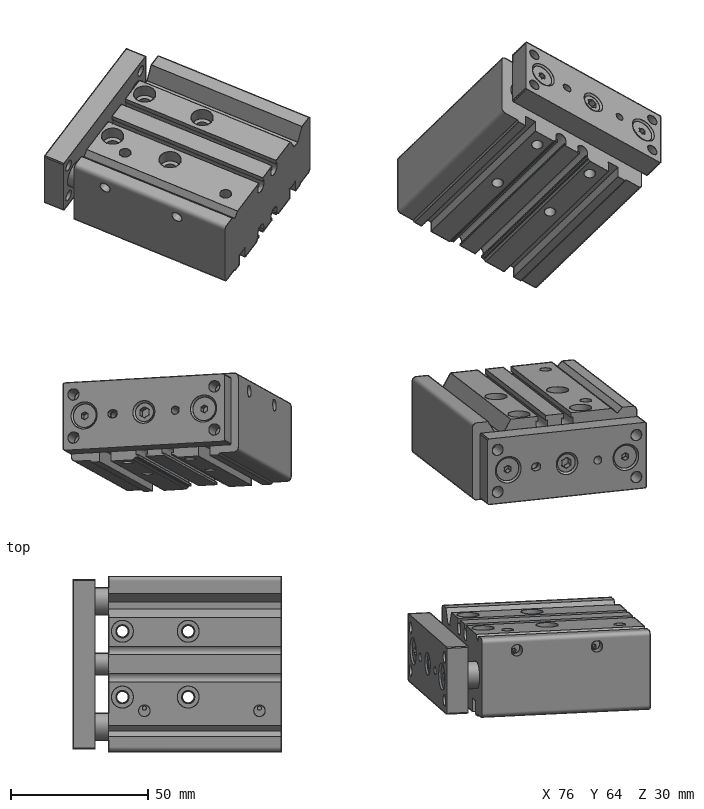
import cadquery as cq
import math

housing_length = 63.0
housing_width = 64.0
housing_height = 30.0
half_width = housing_width / 2
top_z = housing_height / 2
foot_z = -housing_height / 2
side_bottom_z = -14.3
land_bottom_z = -14.0
corner_radius = 1.7

foot_outer_y = 24.3
foot_outer_chamfer = 0.6
foot_inner_y = 8.3

sensor_slot_y = 4.95
sensor_mouth_width = 3.0
sensor_lip_z = 13.15
sensor_slot_diameter = 4.4
sensor_round_z = 11.3

foot_slot_y = 18.9
foot_slot_width = 4.4
foot_slot_depth = 5.0

taper_groove_y = 21.45
taper_groove_mouth = 8.8
taper_groove_floor = 2.5
taper_groove_angle = 60.0
taper_groove_run = (taper_groove_mouth - taper_groove_floor) / 2
taper_groove_depth = taper_groove_run * math.tan(math.radians(taper_groove_angle))

vee_groove_y = -24.4
vee_groove_depth = 2.0

mount_hole_xs = (5.0, 29.0)
mount_hole_y = 12.0
mount_hole_diameter = 4.8
mount_thread_diameter = 4.2
mount_thread_length = 10.0
counterbore_diameter = 8.0
counterbore_depth = 5.0

port_diameter = 4.2
port_depth = 4.5
port_drill_diameter = 1.5
port_drill_depth = 6.5
port_drill_offset = 0.95
top_port_xs = (13.0, 55.0)
top_port_y = -17.0
side_port_xs = (13.0, 43.0)
side_port_z = 10.4

plate_thickness = 8.0
plate_width = 61.8
plate_height = 25.0
plate_chamfer = 0.4
plate_gap = 5.0
plate_back_x = -plate_gap
plate_front_x = plate_back_x - plate_thickness

guide_rod_diameter = 10.0
guide_rod_y = 22.9
piston_rod_diameter = 8.0
rod_insertion = 40.0

guide_rim_diameter = 10.0
guide_rim_floor = 8.7
piston_rim_diameter = 8.4
piston_rim_floor = 6.9
rim_depth = 0.7

guide_socket_flats = 2.5
piston_socket_flats = 3.5
socket_depth = 3.0

plate_hole_diameter = 4.2
plate_hole_y = 27.0
plate_hole_z = 8.0
pin_hole_y = 12.0
pin_hole_diameter = 3.0
pin_slot_length = 3.5
pin_slot_depth = 3.0


def rod_layout():
    """Y position and diameter of each of the three rods."""
    return (
        (guide_rod_y, guide_rod_diameter),
        (0, piston_rod_diameter),
        (-guide_rod_y, guide_rod_diameter),
    )


def cylinder_x(diameter, x_start, length, y, z=0):
    return cq.Workplane("YZ", origin=(x_start, y, z)).circle(diameter / 2).extrude(length)


def bar(points):
    """Housing-long prism with the given (y, z) outline."""
    return cq.Workplane("YZ").polyline(points).close().extrude(housing_length)


def box_bar(y_min, y_max, z_min, z_max):
    return bar([(y_min, z_min), (y_max, z_min), (y_max, z_max), (y_min, z_max)])


def housing_block():
    block = box_bar(-half_width, half_width, side_bottom_z, top_z)
    return block.edges("|X").fillet(corner_radius)


def foot(side):
    """Raised foot with sloping edges on one side of the centre."""
    outer_rise = side_bottom_z - foot_z
    inner_rise = land_bottom_z - foot_z
    return bar([
        (side * (foot_outer_y + foot_outer_chamfer), foot_z + outer_rise),
        (side * foot_outer_y, foot_z),
        (side * foot_inner_y, foot_z),
        (side * (foot_inner_y - inner_rise), foot_z + inner_rise),
    ])


def centre_relief():
    """Shallow step between the feet."""
    relief_y = foot_inner_y - (land_bottom_z - foot_z)
    return box_bar(-relief_y, relief_y, foot_z, land_bottom_z)


def sensor_slot(y, direction):
    """Round-bottomed slot with a narrow mouth; direction is +1 for the top and -1 for the bottom."""
    radius = sensor_slot_diameter / 2
    half_mouth = sensor_mouth_width / 2
    mouth_z = direction * top_z
    lip_z = direction * sensor_lip_z
    round_z = direction * sensor_round_z
    floor_z = direction * (sensor_round_z - radius)
    return (
        cq.Workplane("YZ")
        .moveTo(y - half_mouth, mouth_z)
        .lineTo(y - half_mouth, lip_z)
        .lineTo(y - radius, lip_z)
        .lineTo(y - radius, round_z)
        .threePointArc((y, floor_z), (y + radius, round_z))
        .lineTo(y + radius, lip_z)
        .lineTo(y + half_mouth, lip_z)
        .lineTo(y + half_mouth, mouth_z)
        .close()
        .extrude(housing_length)
    )


def taper_groove():
    half_mouth = taper_groove_mouth / 2
    half_floor = taper_groove_floor / 2
    floor_z = top_z - taper_groove_depth
    return bar([
        (taper_groove_y - half_mouth, top_z),
        (taper_groove_y - half_floor, floor_z),
        (taper_groove_y + half_floor, floor_z),
        (taper_groove_y + half_mouth, top_z),
    ])


def vee_groove():
    return bar([
        (vee_groove_y - vee_groove_depth, top_z),
        (vee_groove_y, top_z - vee_groove_depth),
        (vee_groove_y + vee_groove_depth, top_z),
    ])


def foot_slot(side):
    centre_y = side * foot_slot_y
    half_slot = foot_slot_width / 2
    return box_bar(centre_y - half_slot, centre_y + half_slot, foot_z, foot_z + foot_slot_depth)


def mount_hole(x, y):
    """Hole right through the housing, counterbored above and narrowed to thread size below."""
    clearance_length = housing_height - mount_thread_length
    top = cq.Workplane("XY", origin=(x, y, top_z))
    thread = top.circle(mount_thread_diameter / 2).extrude(-housing_height)
    clearance = top.circle(mount_hole_diameter / 2).extrude(-clearance_length)
    counterbore = top.circle(counterbore_diameter / 2).extrude(-counterbore_depth)
    return thread.union(clearance).union(counterbore)


def top_port(x):
    mouth = cq.Workplane("XY", origin=(x, top_port_y, top_z))
    port = mouth.circle(port_diameter / 2).extrude(-port_depth)
    drill = mouth.center(0, port_drill_offset).circle(port_drill_diameter / 2).extrude(-port_drill_depth)
    return port.union(drill)


def side_port(x):
    mouth = cq.Workplane("XZ", origin=(x, -half_width, side_port_z))
    port = mouth.circle(port_diameter / 2).extrude(-port_depth)
    drill = mouth.center(0, -port_drill_offset).circle(port_drill_diameter / 2).extrude(-port_drill_depth)
    return port.union(drill)


def make_housing():
    body = housing_block()
    for side in (-1, 1):
        body = body.union(foot(side))
    body = body.cut(taper_groove()).cut(vee_groove())
    for side in (-1, 1):
        body = body.cut(foot_slot(side))
    body = body.cut(centre_relief())
    for side in (-1, 1):
        for direction in (-1, 1):
            body = body.cut(sensor_slot(side * sensor_slot_y, direction))
        for x in mount_hole_xs:
            body = body.cut(mount_hole(x, side * mount_hole_y))
    for x in top_port_xs:
        body = body.cut(top_port(x))
    for x in side_port_xs:
        body = body.cut(side_port(x))
    for y, diameter in rod_layout():
        body = body.cut(cylinder_x(diameter, 0, rod_insertion, y))
    return body


def rim(y, mouth_diameter, floor_diameter):
    """Shallow conical recess in the plate face."""
    return (
        cq.Workplane("YZ", origin=(plate_front_x, y, 0))
        .circle(mouth_diameter / 2)
        .workplane(offset=rim_depth)
        .circle(floor_diameter / 2)
        .loft()
    )


def key_socket(y, flats):
    """Hexagonal key socket with two corners pointing up and down."""
    corner_diameter = flats / math.cos(math.pi / 6)
    face = cq.Workplane("YZ", origin=(plate_front_x, y, 0)).transformed(rotate=(0, 0, 90))
    return face.polygon(6, corner_diameter).extrude(rim_depth + socket_depth)


def pin_slot():
    """Sideways slot in the face, lengthening one of the two pin holes."""
    face = cq.Workplane("YZ", origin=(plate_front_x, pin_hole_y, 0))
    return face.slot2D(pin_slot_length, pin_hole_diameter).extrude(pin_slot_depth)


def make_tool_plate():
    plate = (
        cq.Workplane("YZ", origin=(plate_front_x, 0, 0))
        .rect(plate_width, plate_height)
        .extrude(plate_thickness)
        .edges("|X")
        .chamfer(plate_chamfer)
    )
    for y in (-plate_hole_y, plate_hole_y):
        for z in (-plate_hole_z, plate_hole_z):
            plate = plate.cut(cylinder_x(plate_hole_diameter, plate_front_x, plate_thickness, y, z))
    for y in (-pin_hole_y, pin_hole_y):
        plate = plate.cut(cylinder_x(pin_hole_diameter, plate_front_x, plate_thickness, y))
    plate = plate.cut(pin_slot())
    for y, diameter in rod_layout():
        plate = plate.union(cylinder_x(diameter, plate_back_x, plate_gap + rod_insertion, y))
    for y in (-guide_rod_y, guide_rod_y):
        plate = plate.cut(rim(y, guide_rim_diameter, guide_rim_floor))
        plate = plate.cut(key_socket(y, guide_socket_flats))
    plate = plate.cut(rim(0, piston_rim_diameter, piston_rim_floor))
    return plate.cut(key_socket(0, piston_socket_flats))


housing = make_housing()
tool_plate = make_tool_plate()

result = cq.Compound.makeCompound([housing.val(), tool_plate.val()])